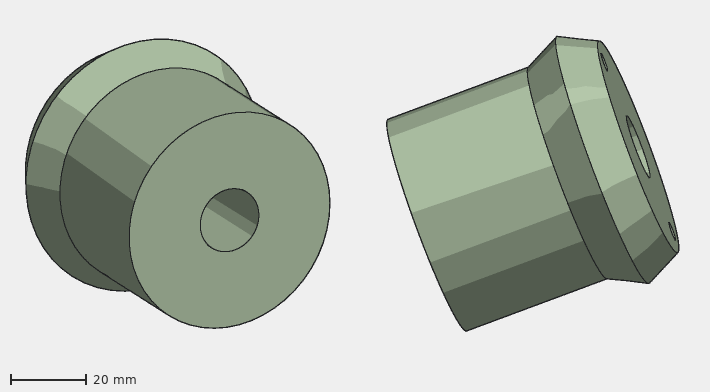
import cadquery as cq

body_length = 60.0
body_diameter = 60.0
collar_diameter = 70.0
collar_width = 20.0

bore_diameter = 17.5

pin_hole_diameter = 5.0
pin_hole_spacing = 50.0
pin_hole_depth = 10.0


def turned_body():
    """Cylinder with a double-cone collar at its X = 0 end."""
    body_radius = body_diameter / 2
    half_profile = (
        cq.Workplane("XY")
        .moveTo(0, 0)
        .lineTo(0, body_radius)
        .lineTo(collar_width / 2, collar_diameter / 2)
        .lineTo(collar_width, body_radius)
        .lineTo(body_length, body_radius)
        .lineTo(body_length, 0)
        .close()
    )
    return half_profile.revolve(360, (0, 0, 0), (1, 0, 0))


def axial_hole(y, diameter, depth):
    """Cutting cylinder that runs along +X from the collar end face."""
    return cq.Workplane("YZ").center(y, 0).circle(diameter / 2).extrude(depth)


result = turned_body().cut(axial_hole(0, bore_diameter, body_length))

for side in (-1, 1):
    pin_hole_y = side * pin_hole_spacing / 2
    result = result.cut(axial_hole(pin_hole_y, pin_hole_diameter, pin_hole_depth))